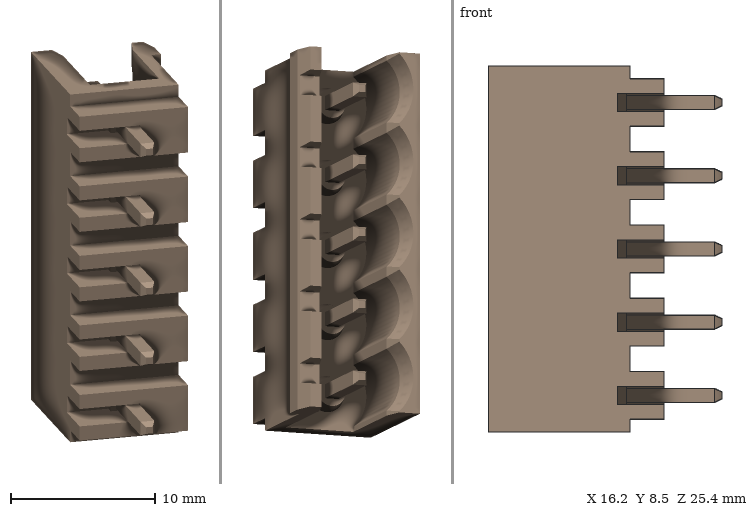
import cadquery as cq

pin_count = 5
height = 25.4
pitch = height / pin_count
pin_heights = [pitch * (i + 0.5) for i in range(pin_count)]

body_width = 7.82
body_end = 9.83
cavity_depth = 8.15
front_wall = 1.9
latch_inner = 6.9
mouth_taper = 1.5
front_tip = 1.52

latch_outer = 8.5
latch_length = 3.0
latch_tip_inner = 7.26
latch_tip_outer = 8.1

notch_depth = 1.22
notch_floor_width = 1.37
notch_mouth_width = 1.8

channel_radius = 2.95
channel_mouth_radius = 3.4

foot_end = 12.2
foot_height = 3.33
slot_height = 1.27
slot_start = 8.97
slot_step = 9.58
slot_ledge_depth = 3.0

pin_y = 3.89
pin_size = 1.0
pin_start = 1.0
pin_end = 16.2
pin_taper = 0.53
pin_tip_size = 0.48
collar_start = 7.1
collar_tip_radius = 1.02
collar_base_radius = 1.27


def box(x_range, y_range, z_range):
    """Axis-aligned box between pairs of coordinates."""
    low, high = zip(x_range, y_range, z_range)
    size = [b - a for a, b in zip(low, high)]
    return cq.Workplane("XY").box(*size, centered=False).translate(low)


def around(center, size):
    """End coordinates of a span of the given size about a center."""
    return center - size / 2, center + size / 2


def cone_x(x_start, x_end, start_radius, end_radius, z):
    """Round solid along a pin axis, tapering linearly between two radii."""
    axis_start = cq.Vector(x_start, pin_y, z)
    direction = cq.Vector(1, 0, 0)
    length = x_end - x_start
    cone = cq.Solid.makeCone(start_radius, end_radius, length, axis_start, direction)
    return cq.Workplane(obj=cone)


def housing():
    """U-shaped channel with tapered mouth and a latch lip on the +Y wall."""
    outline = [
        (0, 0),
        (body_end, 0),
        (body_end, body_width),
        (latch_length, body_width),
        (latch_length, latch_outer),
        (mouth_taper, latch_outer),
        (0, latch_tip_outer),
        (0, latch_tip_inner),
        (mouth_taper, latch_inner),
        (cavity_depth, latch_inner),
        (cavity_depth, front_wall),
        (mouth_taper, front_wall),
        (0, front_tip),
    ]
    return cq.Workplane("XY").polyline(outline).close().extrude(height)


def channel(z):
    """Part-round channel for the -Y wall: a bore with a conical mouth."""
    bore = cq.Workplane("YZ").center(pin_y, z).circle(channel_radius).extrude(cavity_depth)
    flare = cone_x(0, mouth_taper, channel_mouth_radius, channel_radius, z)
    wall_side = box((0, cavity_depth), (0, pin_y), around(z, 2 * channel_mouth_radius))
    return bore.union(flare).intersect(wall_side)


def latch_notch(z):
    """Notch through the latch lip, narrowing towards its floor."""
    mouth_low, mouth_high = around(z, notch_mouth_width)
    floor_low, floor_high = around(z, notch_floor_width)
    outline = [(0, mouth_low), (notch_depth, floor_low), (notch_depth, floor_high), (0, mouth_high)]
    notch = cq.Workplane("XZ").polyline(outline).close().extrude(latch_inner - latch_outer)
    return notch.translate((0, latch_inner, 0))


def foot(z):
    """Rib that carries the body on past its +X end."""
    return box((body_end, foot_end), (0, body_width), around(z, foot_height))


def pin_slot(z):
    """Slot from the -Y side: a ledge in front of the pin, then down to the pin's far face."""
    pin_far = pin_y + pin_size / 2
    shallow = box((slot_start, foot_end), (0, slot_ledge_depth), around(z, slot_height))
    deep = box((slot_step, foot_end), (0, pin_far), around(z, slot_height))
    return shallow.union(deep)


def pin_tip(x_base, direction, z):
    """Tapered pin end pointing along +X (direction 1) or -X (direction -1)."""
    plane = cq.Plane(origin=(x_base, pin_y, z), xDir=(0, 1, 0), normal=(direction, 0, 0))
    base = cq.Workplane(plane).rect(pin_size, pin_size)
    return base.workplane(offset=pin_taper).rect(pin_tip_size, pin_tip_size).loft(ruled=True)


def pin(z):
    """Square pin running through the housing from cavity to foot."""
    shank_start = pin_start + pin_taper
    shank_end = pin_end - pin_taper
    shank = box((shank_start, shank_end), around(pin_y, pin_size), around(z, pin_size))
    return shank.union(pin_tip(shank_start, -1, z)).union(pin_tip(shank_end, 1, z))


def collar(z):
    """Conical collar where the pin leaves the cavity floor."""
    return cone_x(collar_start, cavity_depth, collar_tip_radius, collar_base_radius, z)


result = housing()
for z in pin_heights:
    result = result.union(foot(z))
for z in pin_heights:
    result = result.cut(channel(z)).cut(latch_notch(z)).cut(pin_slot(z))
for z in pin_heights:
    result = result.union(collar(z)).union(pin(z))